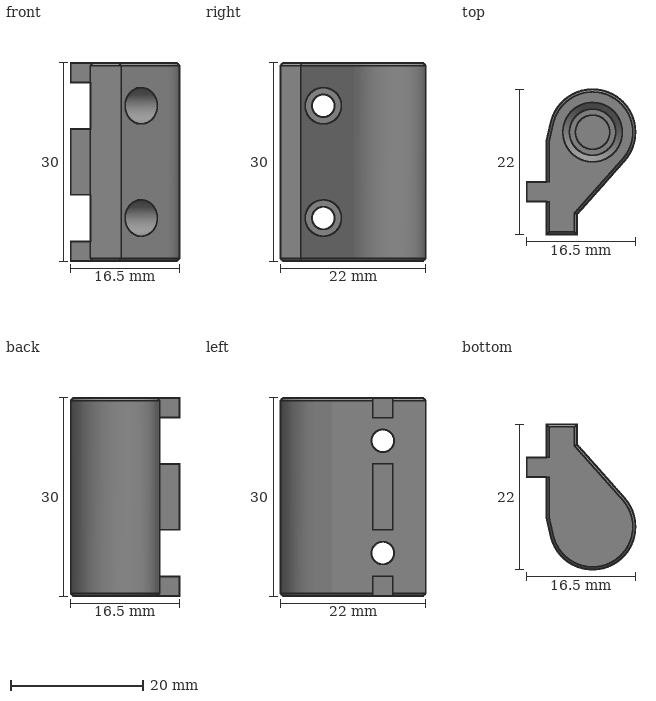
import cadquery as cq
import math

height = 30.0
overall_width = 16.5
overall_depth = 22.02
barrel_radius = 6.5
barrel_x = overall_width - barrel_radius
barrel_y = overall_depth - barrel_radius
tab_length = 3.0
foot_width = 4.65
foot_height = 3.1
wall_height = 14.2
edge_chamfer = 0.42

tab_width = 3.0
tab_y = 6.5
end_tab_height = 3.0
middle_tab_height = 10.0

screw_diameter = 3.4
head_diameter = 5.5
screw_end_distance = 6.5

bore_diameter = 7.0
bore_depth = 20.0
lower_bore_diameter = 5.2
lower_bore_depth = 5.0
mouth_diameter = 9.0

wall_x = tab_length
foot_x = wall_x + foot_width


def tangent_point(x, y, side):
    """Point where the line from (x, y) touches the barrel; side is +1 or -1."""
    dx = x - barrel_x
    dy = y - barrel_y
    angle = math.atan2(dy, dx) + side * math.acos(barrel_radius / math.hypot(dx, dy))
    return (
        barrel_x + barrel_radius * math.cos(angle),
        barrel_y + barrel_radius * math.sin(angle),
    )


def make_body():
    right_tangent = tangent_point(foot_x, foot_height, 1)
    left_tangent = tangent_point(wall_x, wall_height, -1)
    body = (
        cq.Workplane("XY")
        .moveTo(wall_x, 0)
        .lineTo(foot_x, 0)
        .lineTo(foot_x, foot_height)
        .lineTo(*right_tangent)
        .threePointArc((barrel_x, overall_depth), left_tangent)
        .lineTo(wall_x, wall_height)
        .close()
        .extrude(height)
    )
    return body.faces("<Z or >Z").chamfer(edge_chamfer)


def make_tab(bottom, tab_height):
    return cq.Workplane("XY").box(
        tab_length + edge_chamfer, tab_width, tab_height, centered=(False, True, False)
    ).translate((0, tab_y, bottom))


def make_screw_hole(z):
    shank = cq.Workplane("YZ").center(tab_y, z).circle(screw_diameter / 2).extrude(overall_width)
    head = (
        cq.Workplane("YZ", origin=(foot_x, 0, 0))
        .center(tab_y, z)
        .circle(head_diameter / 2)
        .extrude(overall_width - foot_x)
    )
    return shank.union(head)


def make_bore():
    bore_radius = bore_diameter / 2
    lower_radius = lower_bore_diameter / 2
    mouth_radius = mouth_diameter / 2
    mouth_depth = mouth_radius - bore_radius
    step_z = height - bore_depth
    floor_z = step_z - lower_bore_depth
    return (
        cq.Workplane("XZ")
        .moveTo(0, floor_z)
        .lineTo(lower_radius, floor_z)
        .lineTo(lower_radius, step_z)
        .lineTo(bore_radius, step_z)
        .lineTo(bore_radius, height - mouth_depth)
        .lineTo(mouth_radius, height)
        .lineTo(0, height)
        .close()
        .revolve(360, (0, 0, 0), (0, 1, 0))
        .translate((barrel_x, barrel_y, 0))
    )


result = make_body()

tabs = [
    (0, end_tab_height),
    ((height - middle_tab_height) / 2, middle_tab_height),
    (height - end_tab_height, end_tab_height),
]
for tab_bottom, tab_height in tabs:
    result = result.union(make_tab(tab_bottom, tab_height))

for screw_z in (screw_end_distance, height - screw_end_distance):
    result = result.cut(make_screw_hole(screw_z))

result = result.cut(make_bore())